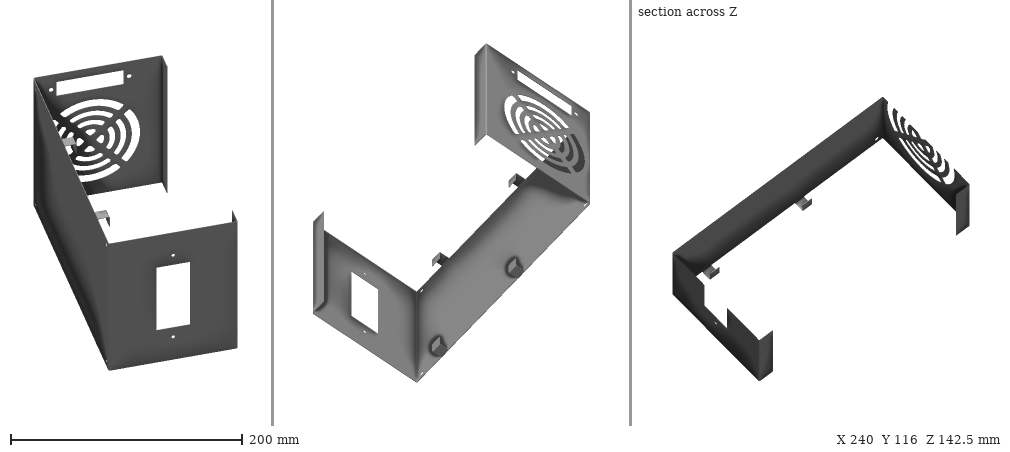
import cadquery as cq

length = 240.0
depth = 116.0
overall_height = 142.5
sheet = 0.5
bend_radius = 1.25
panel_height = overall_height - 2 * bend_radius
flange_width = 15.8

hook_width = 10.0
hook_depth = 10.8
hook_drop = 10.8
hook_centers_x = (-25.0, 80.5)

screw_diameter = 4.0
corner_inset_x = 7.2
corner_inset_z = 6.0

grille_y = -7.0
grille_z = -10.0
grille_rings = ((0, 12.5), (17.5, 22.5), (27.4, 32.5), (37.5, 45.0))
spoke_width = 6.7
spoke_tilt = -2.6
slot_corner_radius = 2.0

display_width = 60.5
display_height = 15.4
display_z = 53.5
display_screw_spacing = 70.0

socket_width = 30.0
socket_height = 69.0
socket_screw_spacing = 90.0
socket_screw_diameter = 3.0

front_y = -depth / 2
wall_x = length / 2
cut_depth = 4 * sheet


def folded_tube(size_x, size_y, size_z, axis):
    """Closed rectangular tube of sheet metal with rounded folds along the given axis."""
    outer_size = (size_x, size_y, size_z)
    inner_size = [size if name == axis else size - 2 * sheet for size, name in zip(outer_size, "XYZ")]
    outer = cq.Workplane().box(*outer_size).edges("|" + axis).fillet(bend_radius)
    inner = cq.Workplane().box(*inner_size).edges("|" + axis).fillet(bend_radius - sheet)
    return outer.cut(inner)


def wall_plane(side):
    """YZ sketch plane whose cut, extruded toward +X, straddles the -X (side = -1) or +X (side = 1) wall."""
    return cq.Workplane("YZ", origin=(side * wall_x - cut_depth / 2, 0, 0))


def shell():
    rear_opening = cq.Workplane().box(length - 2 * flange_width, cut_depth, panel_height)
    return folded_tube(length, depth, panel_height, "Z").cut(rear_opening.translate((0, depth / 2, 0)))


def hook(center_x):
    """Upper hook: a tab running back from the front panel with its end folded down."""
    tube_height = 2 * hook_drop
    tube = folded_tube(hook_width, hook_depth, tube_height, "X")
    upper_half = cq.Workplane().box(hook_width, hook_depth, hook_drop).translate((0, 0, hook_drop / 2))
    return tube.intersect(upper_half).translate(
        (center_x, front_y + hook_depth / 2, overall_height / 2 - hook_drop)
    )


def corner_holes():
    spacing_x = length - 2 * corner_inset_x
    spacing_z = panel_height - 2 * corner_inset_z
    plane = cq.Workplane("XZ", origin=(0, front_y + cut_depth / 2, 0))
    return plane.rarray(spacing_x, spacing_z, 2, 2).circle(screw_diameter / 2).extrude(cut_depth)


def grille_ring(inner_radius, outer_radius):
    """Four rounded slots: a ring divided by two crossing spokes."""
    ring = wall_plane(-1).circle(outer_radius)
    if inner_radius > 0:
        ring = ring.circle(inner_radius)
    ring = ring.extrude(cut_depth)
    spoke_length = 2 * outer_radius + spoke_width
    for angle in (45, -45):
        spoke = wall_plane(-1).rect(spoke_length, spoke_width).extrude(cut_depth)
        ring = ring.cut(spoke.rotate((0, 0, 0), (1, 0, 0), angle + spoke_tilt))
    return ring.edges("|X").fillet(slot_corner_radius).translate((0, grille_y, grille_z))


def display_cutout():
    center = wall_plane(-1).center(grille_y, display_z)
    opening = center.rect(display_width, display_height).extrude(cut_depth)
    screws = wall_plane(-1).center(grille_y, display_z)
    screws = screws.pushPoints([(-display_screw_spacing / 2, 0), (display_screw_spacing / 2, 0)])
    return opening.union(screws.circle(screw_diameter / 2).extrude(cut_depth))


def socket_cutout():
    opening = wall_plane(1).rect(socket_width, socket_height).extrude(cut_depth)
    screws = wall_plane(1).pushPoints([(0, -socket_screw_spacing / 2), (0, socket_screw_spacing / 2)])
    return opening.union(screws.circle(socket_screw_diameter / 2).extrude(cut_depth))


result = shell()
for hook_x in hook_centers_x:
    upper_hook = hook(hook_x)
    result = result.union(upper_hook).union(upper_hook.mirror("XY"))
result = result.cut(corner_holes())
for ring_inner, ring_outer in grille_rings:
    result = result.cut(grille_ring(ring_inner, ring_outer))
result = result.cut(display_cutout()).cut(socket_cutout())